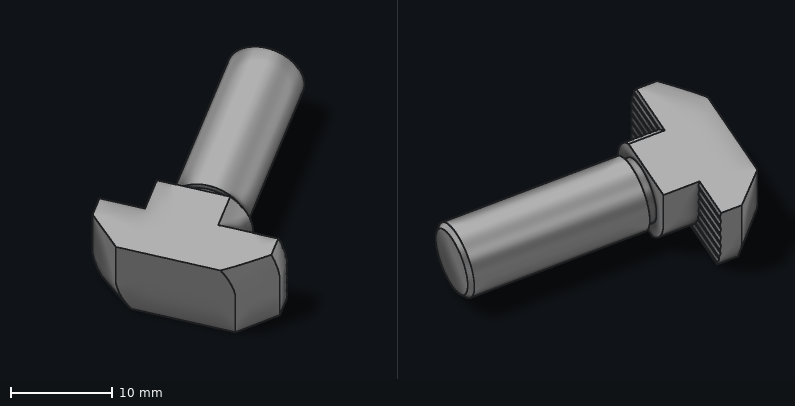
import cadquery as cq

total_length = 30.8
head_width = 19.4
height = 8.5
head_depth = 5.95
serration_count = 7
serration_depth = 0.12
bevel = 3.5
head_turn_radius = 9.8
neck_width = 9.98
neck_end = 9.83
undercut_end = 10.85
undercut_radius = 3.48
shank_radius = 4.0
tip_chamfer = 0.5

half_width = head_width / 2
half_height = height / 2
neck_radius = neck_width / 2
neck_start = head_depth - serration_depth
serration_pitch = height / serration_count


def cylinder_y(radius, start, end):
    """Cylinder around the Y axis from Y = start to Y = end."""
    return cq.Workplane("XZ", origin=(0, start, 0)).circle(radius).extrude(start - end)


def square_corners(width, start, end):
    """Blocks filling the (-X, +Z) and (+X, -Z) quadrants, which stay square."""
    size = (width / 2, end - start, half_height)
    middle = (start + end) / 2
    blocks = cq.Workplane("XY")
    for side in (-1, 1):
        center = (side * width / 4, middle, -side * half_height / 2)
        blocks = blocks.union(cq.Workplane("XY").box(*size).translate(center))
    return blocks


def make_head():
    bevel_start = half_width - bevel
    head = (
        cq.Workplane("XY", origin=(0, 0, -half_height))
        .moveTo(-bevel_start, 0)
        .lineTo(bevel_start, 0)
        .lineTo(half_width, bevel)
        .lineTo(half_width, head_depth)
        .lineTo(-half_width, head_depth)
        .lineTo(-half_width, bevel)
        .close()
        .extrude(height)
    )
    turning_body = (
        cq.Workplane("XY")
        .lineTo(head_turn_radius - bevel, 0)
        .lineTo(head_turn_radius, bevel)
        .lineTo(head_turn_radius, head_depth)
        .lineTo(0, head_depth)
        .close()
        .revolve(360, (0, 0, 0), (0, 1, 0))
    )
    return head.intersect(turning_body.union(square_corners(head_width, 0, head_depth)))


def serrate(head):
    """Cut V grooves along X into the back of the head, leaving pointed ridges between."""
    for index in range(serration_count + 1):
        groove_z = -half_height + index * serration_pitch
        groove = (
            cq.Workplane("YZ", origin=(-half_width, 0, 0))
            .moveTo(neck_start, groove_z)
            .lineTo(head_depth, groove_z - serration_pitch / 2)
            .lineTo(head_depth, groove_z + serration_pitch / 2)
            .close()
            .extrude(head_width)
        )
        head = head.cut(groove)
    return head


def make_neck():
    neck_length = neck_end - neck_start
    block = cq.Workplane("XY").box(neck_width, neck_length, height)
    block = block.translate((0, neck_start + neck_length / 2, 0))
    rounded = cylinder_y(neck_radius, neck_start, neck_end)
    return block.intersect(rounded.union(square_corners(neck_width, neck_start, neck_end)))


undercut = cylinder_y(undercut_radius, neck_end, undercut_end)
shank = cylinder_y(shank_radius, undercut_end, total_length).faces(">Y").chamfer(tip_chamfer)

result = serrate(make_head()).union(make_neck()).union(undercut).union(shank)